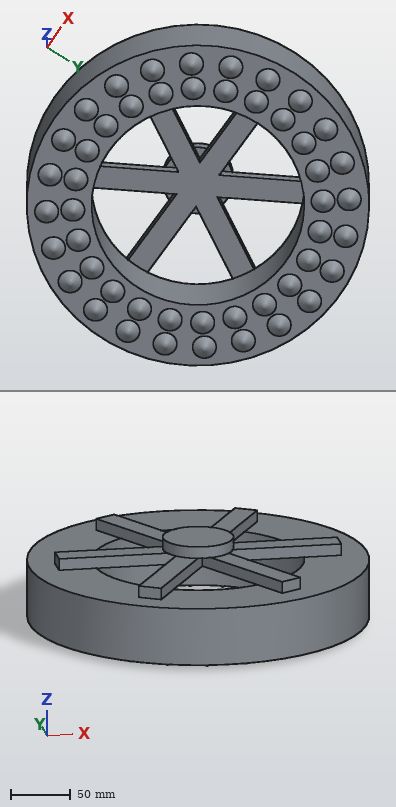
import cadquery as cq
import math

FULL_TURN = 360.0

ring_outer_radius = 145.0
ring_inner_radius = 90.0
ring_height = 50.0

spoke_count = 6
spoke_reach = 121.5
spoke_width = 20.0
spoke_thickness = 10.0

hub_radius = 30.0
hub_height = 10.0

studs_per_circle = 24
inner_stud_circle_radius = 106.0
inner_first_angle = 8.25
outer_stud_circle_radius = 128.2
outer_first_angle = 7.95
stud_radius = 10.0
stud_slope = 30.0
stud_height = stud_radius * math.tan(math.radians(stud_slope))


def make_ring():
    return (
        cq.Workplane("XY")
        .circle(ring_outer_radius)
        .circle(ring_inner_radius)
        .extrude(ring_height)
    )


def make_spoke(angle):
    """A flat bar from the axis outwards, turned about Z by the given angle."""
    return (
        cq.Workplane("XY", origin=(spoke_reach / 2, 0, ring_height))
        .rect(spoke_reach, spoke_width)
        .extrude(spoke_thickness)
        .rotate((0, 0, 0), (0, 0, 1), angle)
    )


def make_hub():
    return (
        cq.Workplane("XY", origin=(0, 0, ring_height + spoke_thickness))
        .circle(hub_radius)
        .extrude(hub_height)
    )


def make_stud(circle_radius, angle):
    """A cone with its base on the bottom of the ring and its tip below."""
    base_centre = cq.Vector(
        circle_radius * math.cos(math.radians(angle)),
        circle_radius * math.sin(math.radians(angle)),
        0,
    )
    down = cq.Vector(0, 0, -1)
    return cq.Solid.makeCone(stud_radius, 0, stud_height, base_centre, down)


def add_stud_circle(body, circle_radius, first_angle):
    stud_pitch = FULL_TURN / studs_per_circle
    for stud in range(studs_per_circle):
        body = body.union(make_stud(circle_radius, first_angle + stud * stud_pitch))
    return body


result = make_ring()

for spoke in range(spoke_count):
    result = result.union(make_spoke(spoke * FULL_TURN / spoke_count))

result = result.union(make_hub())

result = add_stud_circle(result, inner_stud_circle_radius, inner_first_angle)
result = add_stud_circle(result, outer_stud_circle_radius, outer_first_angle)